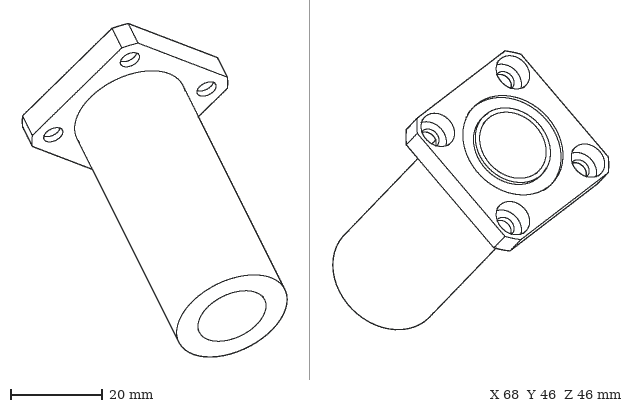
import cadquery as cq
import math

total_length = 68.0
body_diameter = 26.0
bore_diameter = 16.0

flange_thickness = 6.0
flange_span = 46.0
corner_half_width = 1.9

groove_outer_diameter = 24.0
groove_inner_diameter = 18.0
groove_depth = 1.0

bolt_circle_diameter = 36.0
bolt_count = 4
bolt_hole_diameter = 4.5
counterbore_diameter = 8.0
counterbore_depth = 4.4


def make_flange():
    """Square plate standing on its corner, with corners turned to a circle."""
    corner_radius = flange_span / 2
    corner_start = math.sqrt(corner_radius**2 - corner_half_width**2)
    side = math.sqrt(2) * (corner_start + corner_half_width)
    square = (
        cq.Workplane("YZ")
        .rect(side, side)
        .extrude(flange_thickness)
        .rotate((0, 0, 0), (1, 0, 0), 45)
    )
    disc = cq.Workplane("YZ").circle(corner_radius).extrude(flange_thickness)
    return square.intersect(disc)


def make_body():
    """Cylindrical sleeve running the full length."""
    return cq.Workplane("YZ").circle(body_diameter / 2).extrude(total_length)


def make_end_groove():
    """Shallow annular groove around the bore on the flange face."""
    return (
        cq.Workplane("YZ")
        .circle(groove_outer_diameter / 2)
        .circle(groove_inner_diameter / 2)
        .extrude(groove_depth)
    )


def make_bolt_holes():
    """Counterbored through holes, one near each flange corner."""
    def cylinders(diameter, depth):
        return (
            cq.Workplane("YZ")
            .polarArray(bolt_circle_diameter / 2, 0, 360, bolt_count)
            .circle(diameter / 2)
            .extrude(depth)
        )

    through_holes = cylinders(bolt_hole_diameter, flange_thickness)
    return through_holes.union(cylinders(counterbore_diameter, counterbore_depth))


bore = cq.Workplane("YZ").circle(bore_diameter / 2).extrude(total_length)

result = make_flange().union(make_body())
result = result.cut(bore).cut(make_end_groove()).cut(make_bolt_holes())